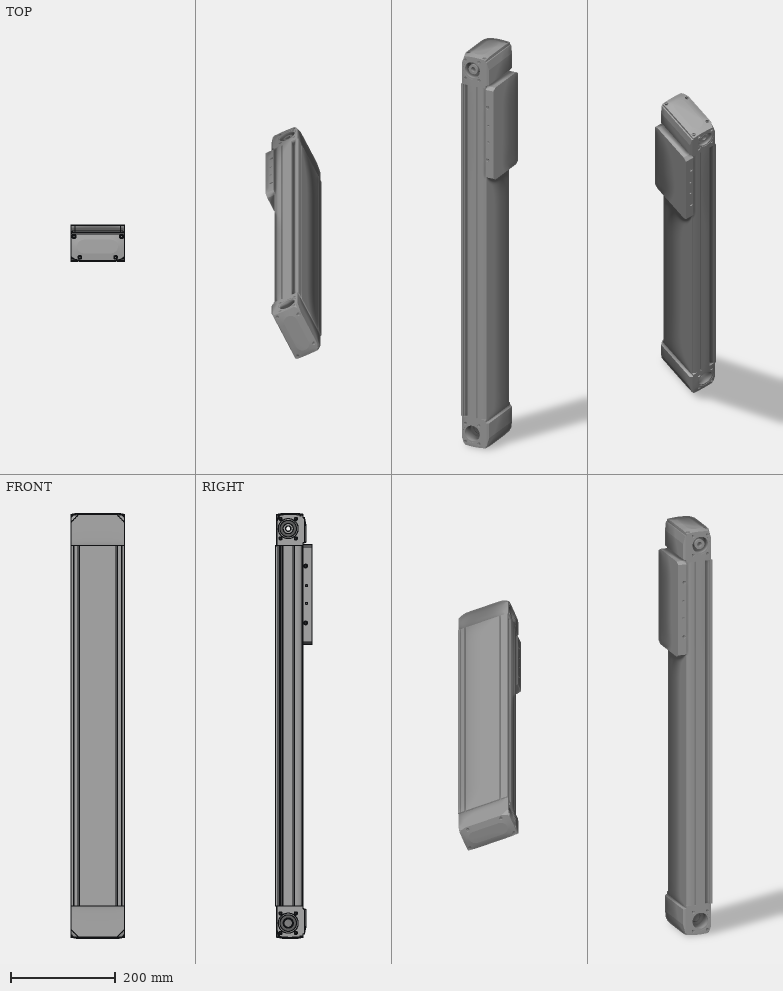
import cadquery as cq
import math


LENGTH = 811.0
WIDTH = 102.0
TOTAL_DEPTH = 70.0

HEAD_HEIGHT = 62.0
HEAD_FRONT = 2.5
HEAD_BACK = 53.0
CORNER_CUTS = [(17.0, 6.0), (11.0, 10.0)]

OVAL_LENGTH = 78.0
OVAL_WIDTH = 26.0
OVAL_Y = 28.0
END_SLOPE = 10.0

PAD_BACK = 58.0
PAD_LOW_EDGE = 2.5
PAD_GAP = 5.0
PAD_START = 8.0
PAD_TOP_START = 24.0
PAD_TOP_END = 55.0
PAD_BEVEL_X = 3.0
PAD_BEVEL_Y = 4.0

HOLE_DEPTH = 8.0
MOUTH_DEPTH = 2.5
CORE_RATIO = 0.6

BORE_FROM_END = 29.0
BORE_Y = 24.0
SPOTFACE_DIAMETER = 38.0
SPOTFACE_DEPTH = 1.0
BORE_DIAMETER = 32.0
BORE_DEPTH = 24.0
PULLEY_DIAMETER = 19.5
SHAFT_HOLE_DIAMETER = 10.0
DRIVE_SHAFT_INSET = 4.0
IDLER_CHAMFER = 2.0
FLANGE_HOLE_DIAMETER = 6.0
FLANGE_HOLE_Y = 15.0
FLANGE_HOLE_Z = 19.0

END_MOUTH_DEPTH = 5.0
BACK_SCREW_DIAMETER = 8.0
BACK_SCREW_X = 45.5
BACK_SCREW_Y = 48.0
FRONT_SCREW_DIAMETER = 7.0
FRONT_SCREW_X = 34.0
FRONT_SCREW_Y = 8.0

PROFILE_BACK = HEAD_BACK
PROFILE_LENGTH = LENGTH - 2 * HEAD_HEIGHT
BACK_ARC_START_Y = 40.5
BACK_ARC_RADIUS = 14.0
BACK_ARC_ANGLE = 45.0
EDGE_GROOVE_X = 45.5
EDGE_GROOVE_WIDTH = 1.0
EDGE_GROOVE_DEPTH = 2.0
GROOVE_WIDTH = 2.5
GROOVE_DEPTH = 2.5
FRONT_GROOVE_X = 35.0
SIDE_GROOVE_Y = 35.0
SIDE_SLOT_BACK = 15.0
SIDE_SLOT_FRONT = 5.0
SIDE_SLOT_STEPS = 4
SIDE_SLOT_STEP_Y = 2.5
SIDE_SLOT_STEP_DEPTH = 2.5

CARRIAGE_LENGTH = 190.5
CARRIAGE_Z = 251.0
CARRIAGE_BEVEL_X = 8.0
CARRIAGE_BEVEL_Z = 5.0
CARRIAGE_BOLT_DIAMETER = 7.0
CARRIAGE_BOLT_Y = 57.5
CARRIAGE_BOLT_Z = 54.0
CARRIAGE_PIN_DIAMETER = 4.1
CARRIAGE_PIN_Y = 59.0
CARRIAGE_PIN_Z = 17.0

HALF_WIDTH = WIDTH / 2
HALF_LENGTH = LENGTH / 2
BORE_Z = HALF_LENGTH - BORE_FROM_END


def block(x_range, y_range, z_range):
    """Box between two limits on each axis."""
    sizes = [high - low for low, high in (x_range, y_range, z_range)]
    corner = (x_range[0], y_range[0], z_range[0])
    return cq.Workplane("XY").box(*sizes, centered=False).translate(corner)


def x_range_on(side, inner, outer):
    """Limits along X between two distances from the middle, on side -1 or 1."""
    return tuple(sorted((side * inner, side * outer)))


def x_cylinder(diameter, x_start, x_end, y, z):
    """Cylinder along X between two X positions."""
    axis_start = cq.Vector(x_start, y, z)
    direction = cq.Vector(1, 0, 0)
    return cq.Workplane(cq.Solid.makeCylinder(diameter / 2, x_end - x_start, axis_start, direction))


def side_holes(diameter, depth, y, z):
    """A pair of blind holes, one from each side of the axis."""
    left = x_cylinder(diameter, -HALF_WIDTH, -HALF_WIDTH + depth, y, z)
    right = x_cylinder(diameter, HALF_WIDTH - depth, HALF_WIDTH, y, z)
    return left.add(right).combine()


def side_screw_holes(diameter, y, z):
    """A pair of stepped screw holes, one from each side of the axis."""
    mouths = side_holes(diameter, MOUTH_DEPTH, y, z)
    return mouths.union(side_holes(diameter * CORE_RATIO, HOLE_DEPTH, y, z))


def end_screw_hole(diameter, x, y):
    """Stepped screw hole down from the upper end."""
    top = cq.Workplane("XY", origin=(x, y, HALF_LENGTH))
    mouth = top.circle(diameter / 2).extrude(-END_MOUTH_DEPTH)
    return mouth.union(top.circle(diameter * CORE_RATIO / 2).extrude(-HOLE_DEPTH))




def sloping_end():
    """Oval that widens downwards until it is larger than the head."""
    spread = 2 * HEAD_HEIGHT / math.tan(math.radians(END_SLOPE))
    return (
        cq.Workplane("XY", origin=(0, OVAL_Y, HALF_LENGTH - HEAD_HEIGHT))
        .slot2D(OVAL_LENGTH + spread, OVAL_WIDTH + spread)
        .workplane(offset=HEAD_HEIGHT)
        .slot2D(OVAL_LENGTH, OVAL_WIDTH)
        .loft(ruled=True)
    )


def front_corner(side, across, depth):
    """Pyramid at an outer front corner of the head; side is -1 or 1."""
    corner = cq.Vector(side * HALF_WIDTH, HEAD_FRONT, HALF_LENGTH)
    along_x = corner + cq.Vector(-side * across, 0, 0)
    along_y = corner + cq.Vector(0, depth, 0)
    along_z = corner + cq.Vector(0, 0, -across)
    triangles = [
        (corner, along_x, along_y),
        (corner, along_y, along_z),
        (corner, along_z, along_x),
        (along_x, along_y, along_z),
    ]
    faces = [cq.Face.makeFromWires(cq.Wire.makePolygon(points, close=True)) for points in triangles]
    return cq.Workplane(cq.Solid.makeSolid(cq.Shell.makeShell(faces)))


def back_pad():
    """Wedge-shaped pad on the back of the head with bevelled sides."""
    outline = [
        (HEAD_BACK, HALF_LENGTH - PAD_START),
        (HEAD_BACK + PAD_LOW_EDGE, HALF_LENGTH - PAD_START),
        (PAD_BACK, HALF_LENGTH - PAD_TOP_START),
        (PAD_BACK, HALF_LENGTH - PAD_TOP_END),
        (HEAD_BACK, HALF_LENGTH - HEAD_HEIGHT + PAD_GAP),
    ]
    pad = cq.Workplane("YZ").polyline(outline).close().extrude(HALF_WIDTH, both=True)
    return pad.faces(">Y").edges("|Z").chamfer(PAD_BEVEL_X, PAD_BEVEL_Y)


def make_head():
    """Upper head with its pulley bore and screw holes."""
    head = block(
        (-HALF_WIDTH, HALF_WIDTH),
        (HEAD_FRONT, HEAD_BACK),
        (HALF_LENGTH - HEAD_HEIGHT, HALF_LENGTH),
    )
    head = head.intersect(sloping_end()).union(back_pad())
    for side in (-1, 1):
        for across, depth in CORNER_CUTS:
            head = head.cut(front_corner(side, across, depth))
        head = head.cut(end_screw_hole(BACK_SCREW_DIAMETER, side * BACK_SCREW_X, BACK_SCREW_Y))
        head = head.cut(end_screw_hole(FRONT_SCREW_DIAMETER, side * FRONT_SCREW_X, FRONT_SCREW_Y))
    head = head.cut(side_holes(SPOTFACE_DIAMETER, SPOTFACE_DEPTH, BORE_Y, BORE_Z))
    head = head.cut(side_holes(BORE_DIAMETER, BORE_DEPTH, BORE_Y, BORE_Z))
    head = head.cut(x_cylinder(PULLEY_DIAMETER, -HALF_WIDTH, HALF_WIDTH, BORE_Y, BORE_Z))
    for y_side in (-1, 1):
        for z_side in (-1, 1):
            hole_y = BORE_Y + y_side * FLANGE_HOLE_Y
            hole_z = BORE_Z + z_side * FLANGE_HOLE_Z
            head = head.cut(side_screw_holes(FLANGE_HOLE_DIAMETER, hole_y, hole_z))
    return head




def make_drive_pulley():
    """Hollow shaft that reaches almost to the sides of the upper head."""
    reach = HALF_WIDTH - DRIVE_SHAFT_INSET
    shaft = x_cylinder(PULLEY_DIAMETER, -reach, reach, BORE_Y, BORE_Z)
    return shaft.cut(x_cylinder(SHAFT_HOLE_DIAMETER, -reach, reach, BORE_Y, BORE_Z))


def make_idler_pulley():
    """Solid shaft that ends at the bottoms of the lower head's bores."""
    reach = HALF_WIDTH - BORE_DEPTH
    shaft = x_cylinder(PULLEY_DIAMETER, -reach, reach, BORE_Y, -BORE_Z)
    return shaft.edges("%CIRCLE").chamfer(IDLER_CHAMFER)




def back_arc_point(angle):
    """Point on the right-hand back arc, at an angle from its start."""
    turn = math.radians(angle)
    x = HALF_WIDTH - BACK_ARC_RADIUS * (1 - math.cos(turn))
    y = BACK_ARC_START_Y + BACK_ARC_RADIUS * math.sin(turn)
    return x, y


def profile_bar():
    """Plain bar whose sides curve inwards towards the back."""
    middle_x, middle_y = back_arc_point(BACK_ARC_ANGLE / 2)
    end_x, end_y = back_arc_point(BACK_ARC_ANGLE)
    return (
        cq.Workplane("XY", origin=(0, 0, -PROFILE_LENGTH / 2))
        .moveTo(-HALF_WIDTH, 0)
        .lineTo(HALF_WIDTH, 0)
        .lineTo(HALF_WIDTH, BACK_ARC_START_Y)
        .threePointArc((middle_x, middle_y), (end_x, end_y))
        .lineTo(end_x, PROFILE_BACK)
        .lineTo(-end_x, PROFILE_BACK)
        .lineTo(-end_x, end_y)
        .threePointArc((-middle_x, middle_y), (-HALF_WIDTH, BACK_ARC_START_Y))
        .close()
        .extrude(PROFILE_LENGTH)
    )


def make_profile():
    """Extrusion with curved back corners, grooves and stepped side slots."""
    z_range = (-PROFILE_LENGTH / 2, PROFILE_LENGTH / 2)
    profile = profile_bar()
    for side in (-1, 1):
        edge_x = x_range_on(side, EDGE_GROOVE_X, EDGE_GROOVE_X + EDGE_GROOVE_WIDTH)
        profile = profile.cut(block(edge_x, (0, EDGE_GROOVE_DEPTH), z_range))

        groove_x = x_range_on(side, FRONT_GROOVE_X, FRONT_GROOVE_X + GROOVE_WIDTH)
        profile = profile.cut(block(groove_x, (0, GROOVE_DEPTH), z_range))

        side_x = x_range_on(side, HALF_WIDTH - GROOVE_DEPTH, HALF_WIDTH)
        side_y = (SIDE_GROOVE_Y - GROOVE_WIDTH / 2, SIDE_GROOVE_Y + GROOVE_WIDTH / 2)
        profile = profile.cut(block(side_x, side_y, z_range))

        for step in range(SIDE_SLOT_STEPS):
            slot_x = x_range_on(side, HALF_WIDTH - (step + 1) * SIDE_SLOT_STEP_DEPTH, HALF_WIDTH)
            slot_y = (SIDE_SLOT_FRONT + step * SIDE_SLOT_STEP_Y, SIDE_SLOT_BACK)
            profile = profile.cut(block(slot_x, slot_y, z_range))
    return profile




def make_carriage():
    """Plate behind the profile with bevelled corners and side holes."""
    half_length = CARRIAGE_LENGTH / 2
    bevel_x = HALF_WIDTH - CARRIAGE_BEVEL_X
    bevel_z = half_length - CARRIAGE_BEVEL_Z
    outline = [
        (-HALF_WIDTH, -bevel_z),
        (-bevel_x, -half_length),
        (bevel_x, -half_length),
        (HALF_WIDTH, -bevel_z),
        (HALF_WIDTH, bevel_z),
        (bevel_x, half_length),
        (-bevel_x, half_length),
        (-HALF_WIDTH, bevel_z),
    ]
    carriage = (
        cq.Workplane("XZ", origin=(0, TOTAL_DEPTH, CARRIAGE_Z))
        .polyline(outline)
        .close()
        .extrude(TOTAL_DEPTH - PROFILE_BACK)
    )
    for end in (-1, 1):
        bolt_z = CARRIAGE_Z + end * CARRIAGE_BOLT_Z
        pin_z = CARRIAGE_Z + end * CARRIAGE_PIN_Z
        carriage = carriage.cut(
            side_screw_holes(CARRIAGE_BOLT_DIAMETER, CARRIAGE_BOLT_Y, bolt_z)
        )
        carriage = carriage.cut(
            side_holes(CARRIAGE_PIN_DIAMETER, HOLE_DEPTH, CARRIAGE_PIN_Y, pin_z)
        )
    return carriage


upper_head = make_head()
lower_head = upper_head.mirror("XY")
drive_pulley = make_drive_pulley()
idler_pulley = make_idler_pulley()
profile = make_profile()
carriage = make_carriage()

result = cq.Compound.makeCompound(
    [
        profile.val(),
        upper_head.val(),
        lower_head.val(),
        drive_pulley.val(),
        idler_pulley.val(),
        carriage.val(),
    ]
)